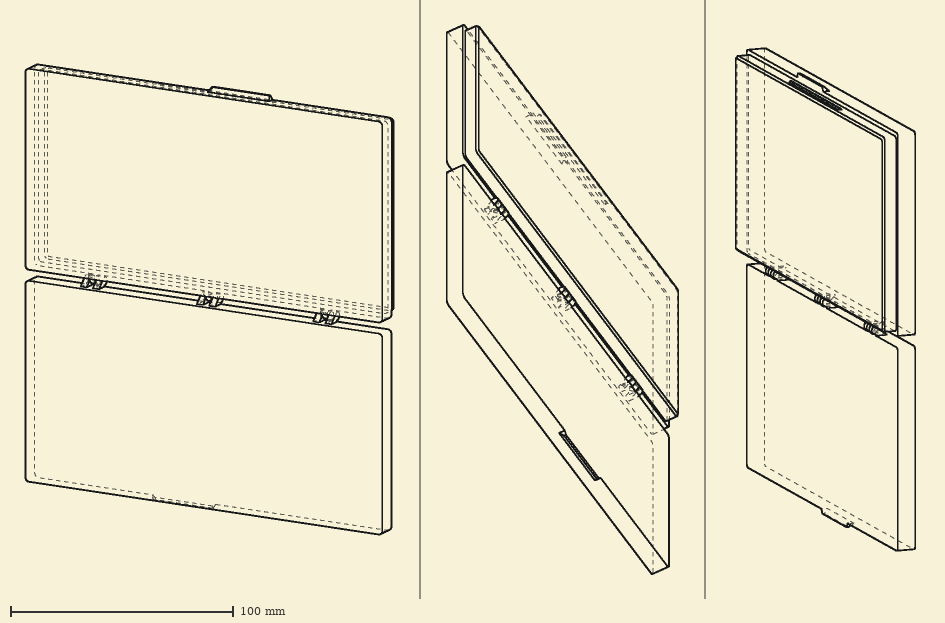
import cadquery as cq
import math


CASE_WIDTH = 184.0
TOTAL_HEIGHT = 197.0
SHELL_HEIGHT = 94.0
SHELL_DEPTH = 8.5
TOTAL_DEPTH = 15.0
CORNER_RADIUS = 2.0

RIM_INSET = 2.0
RIM_EDGE_CHAMFER = 1.0

BEAD_LENGTH = 59.9
BEAD_HEIGHT = 0.8
BEAD_Y = 11.8

TAB_HEIGHT = 2.0
TAB_TIP_WIDTH = 29.5
TAB_TIP_DEPTH = 1.0
TAB_FRONT_FLARE = TAB_HEIGHT
TAB_END_FLARE = 1.2

HINGE_SPACING = 59.9
HINGE_OFFSET = -0.5
HINGE_COUNT = 3
LEAF_WIDTH = 3.2
KNUCKLE_RADIUS = 2.0

HALF_GAP = TOTAL_HEIGHT / 2 - SHELL_HEIGHT - TAB_HEIGHT
SHELL_TOP = HALF_GAP + SHELL_HEIGHT
SHELL_MID_Z = HALF_GAP + SHELL_HEIGHT / 2
RIM_WIDTH = CASE_WIDTH - 2 * RIM_INSET
RIM_HEIGHT = SHELL_HEIGHT - 2 * RIM_INSET
RIM_DEPTH = TOTAL_DEPTH - SHELL_DEPTH
TAB_ROOT_WIDTH = TAB_TIP_WIDTH + 2 * TAB_END_FLARE
TAB_ROOT_DEPTH = TAB_TIP_DEPTH + TAB_FRONT_FLARE
TAB_X = TAB_TIP_WIDTH / 2
HINGE_CENTRES = [HINGE_OFFSET + (i - (HINGE_COUNT - 1) / 2) * HINGE_SPACING for i in range(HINGE_COUNT)]


def rounded_slab(width, depth, height, start_y):
    """Slab above the hinge axis, with rounded corners in the XZ plane."""
    slab = cq.Workplane("XY").box(width, depth, height).edges("|Y").fillet(CORNER_RADIUS)
    return slab.translate((0, start_y + depth / 2, SHELL_MID_Z))


def latch_tab():
    """Tab on top of a shell, flush with its inner face and tapering to the tip."""
    return (
        cq.Workplane("XY", origin=(TAB_X, SHELL_DEPTH - TAB_ROOT_DEPTH / 2, SHELL_TOP))
        .rect(TAB_ROOT_WIDTH, TAB_ROOT_DEPTH)
        .workplane(offset=TAB_HEIGHT)
        .center(0, TAB_FRONT_FLARE / 2)
        .rect(TAB_TIP_WIDTH, TAB_TIP_DEPTH)
        .loft(ruled=True)
    )


def hinge_leaf(centre_x):
    """Knuckle on the hinge axis, with a 45 degree web up to the shell above it."""
    tangent = KNUCKLE_RADIUS * math.sqrt(0.5)
    web_reach = HALF_GAP + 2 * tangent
    leaf_plane = cq.Workplane("YZ", origin=(centre_x - LEAF_WIDTH / 2, SHELL_DEPTH, 0))
    knuckle = leaf_plane.circle(KNUCKLE_RADIUS).extrude(LEAF_WIDTH)
    web = (
        leaf_plane.polyline([(0, 0), (-tangent, -tangent), (-web_reach, HALF_GAP), (0, HALF_GAP)])
        .close()
        .extrude(LEAF_WIDTH)
    )
    return knuckle.union(web)


def case_half(leaf_centres):
    """Shell above the hinge axis, with its latch tab and hinge leaves."""
    half = rounded_slab(CASE_WIDTH, SHELL_DEPTH, SHELL_HEIGHT, 0).union(latch_tab())
    for centre_x in leaf_centres:
        half = half.union(hinge_leaf(centre_x))
    return half


def rim():
    """Block on the inner face that carries the snap bead."""
    block = rounded_slab(RIM_WIDTH, RIM_DEPTH, RIM_HEIGHT, SHELL_DEPTH)
    block = block.faces(">Y").edges().chamfer(RIM_EDGE_CHAMFER)
    bead = (
        cq.Workplane("YZ", origin=(-BEAD_LENGTH / 2, BEAD_Y, SHELL_TOP - RIM_INSET))
        .polyline([(-BEAD_HEIGHT, 0), (BEAD_HEIGHT, 0), (0, BEAD_HEIGHT)])
        .close()
        .extrude(BEAD_LENGTH)
    )
    return block.union(bead)


upper_half = case_half(HINGE_CENTRES).union(rim())

outer_leaf_centres = [x + side * LEAF_WIDTH for x in HINGE_CENTRES for side in (-1, 1)]
lower_half = case_half([-x for x in outer_leaf_centres]).rotate((0, 0, 0), (0, 1, 0), 180)

result = cq.Compound.makeCompound([upper_half.val(), lower_half.val()])